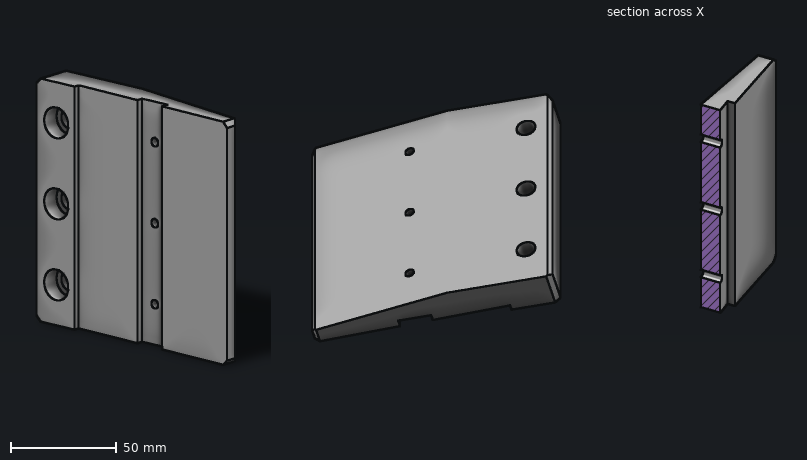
import cadquery as cq
import math

width = 120.0
height = 120.0
thickness = 18.5
corner_chamfer = 2.6
back_chamfer = 2.0

taper_start = 51.0
taper_angle = 8.8
right_end_thickness = thickness - (width - taper_start) * math.tan(math.radians(taper_angle))

strip_width = 24.0
ramp_depth = 3.0
ramp_slope = ramp_depth / (width - strip_width)

groove_left = 62.0
groove_width = 16.0
groove_right = groove_left + groove_width
groove_floor_y = 5.2

hole_pitch = 40.0
mounting_hole_x = 12.5
mounting_hole_diameter = 9.1
counterbore_diameter = 15.1
counterbore_depth = 9.0
groove_hole_x = groove_left + groove_width / 2
groove_hole_diameter = 4.2


def ramp_y(x):
    """Depth of the ramp surface below the front face at x."""
    return (width - x) * ramp_slope


def plate():
    """Cross-section in XY, extruded over the full height."""
    outline = [
        (0, 0),
        (strip_width, 0),
        (strip_width, ramp_depth),
        (groove_left, ramp_y(groove_left)),
        (groove_left, groove_floor_y),
        (groove_right, groove_floor_y),
        (groove_right, ramp_y(groove_right)),
        (width, 0),
        (width, right_end_thickness),
        (taper_start, thickness),
        (0, thickness),
    ]
    body = cq.Workplane("XY").polyline(outline).close().extrude(height)
    left_edge = cq.selectors.NearestToPointSelector((0, thickness, height / 2))
    right_edge = cq.selectors.NearestToPointSelector((width, right_end_thickness, height / 2))
    return body.edges(left_edge + right_edge).chamfer(back_chamfer)


def corner_frame():
    """Rectangle with chamfered corners, as a solid through the thickness."""
    block = cq.Workplane("XY").box(width, thickness, height, centered=False)
    return block.edges("|Y").chamfer(corner_chamfer)


def hole_row(x, diameter, depth):
    """Three cylinders along +Y from the front, centred on mid-height."""
    plane = cq.Workplane("XZ", origin=(x, 0, height / 2))
    return plane.rarray(1.2, hole_pitch, 1, 3).circle(diameter / 2).extrude(-depth)


result = plate().intersect(corner_frame())
result = result.cut(hole_row(mounting_hole_x, mounting_hole_diameter, thickness))
result = result.cut(hole_row(mounting_hole_x, counterbore_diameter, counterbore_depth))
result = result.cut(hole_row(groove_hole_x, groove_hole_diameter, thickness))